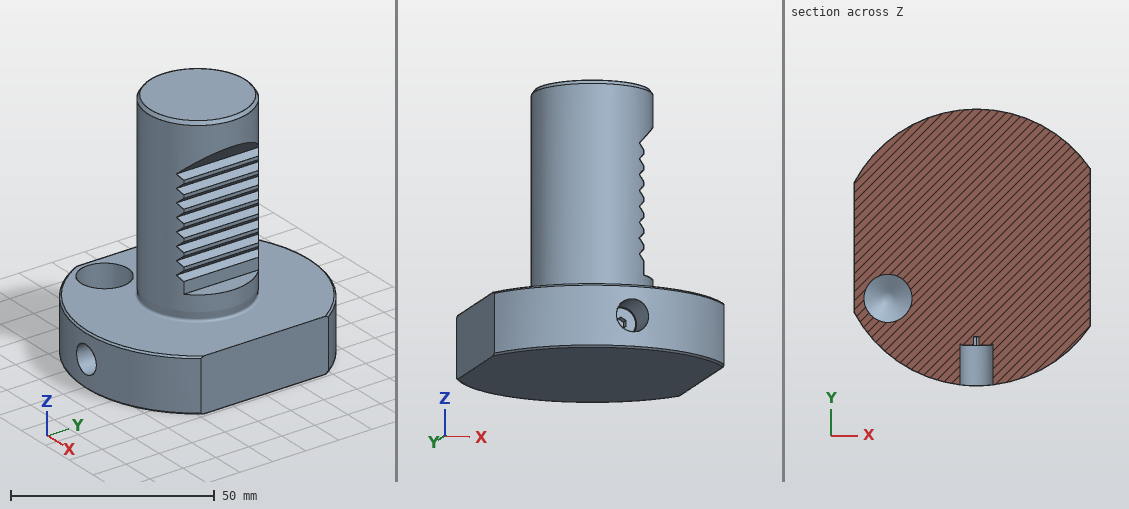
import cadquery as cq
import math

flange_radius = 34.0
flange_height = 16.0
flange_chamfer = 0.5
left_flat_x = -30.0
right_flat_x = 28.0

total_height = 71.0
shank_radius = 15.0
shank_chamfer_height = 1.0
shank_chamfer_width = 0.7
neck_bottom_radius = 14.8
neck_top_z = 18.7
neck_fillet = 0.7

tooth_count = 8
tooth_pitch = 4.0
tooth_root_x = 8.3
tooth_tip_x = 9.8
cutter_margin = 0.7
top_root_z = 56.2
ledge_z = 23.4

nozzle_x = -21.7
nozzle_y = -12.5
nozzle_radius = 7.0
nozzle_depth = 8.2
drill_point_angle = 118.0

plug_z = 8.25
plug_hole_radius = 4.1
plug_hole_depth = 9.95
plug_chamfer = 0.35
hex_across_flats = 2.55
hex_depth = 2.1


def turned_body():
    """Flange, tapered neck and shank as one turned profile."""
    fillet_centre_x = neck_bottom_radius + neck_fillet
    fillet_centre_z = flange_height + neck_fillet
    fillet_offset = neck_fillet * math.sqrt(0.5)
    return (
        cq.Workplane("XZ")
        .lineTo(flange_radius - flange_chamfer, 0)
        .lineTo(flange_radius, flange_chamfer)
        .lineTo(flange_radius, flange_height - flange_chamfer)
        .lineTo(flange_radius - flange_chamfer, flange_height)
        .lineTo(fillet_centre_x, flange_height)
        .threePointArc(
            (fillet_centre_x - fillet_offset, fillet_centre_z - fillet_offset),
            (neck_bottom_radius, fillet_centre_z),
        )
        .lineTo(shank_radius, neck_top_z)
        .lineTo(shank_radius, total_height - shank_chamfer_height)
        .lineTo(shank_radius - shank_chamfer_width, total_height)
        .lineTo(0, total_height)
        .close()
        .revolve(360, (0, 0, 0), (0, 1, 0))
    )


def between_flats():
    """Block spanning the two flats, as long as the disc in Y."""
    width = right_flat_x - left_flat_x
    return (
        cq.Workplane("XY")
        .box(width, 2 * flange_radius, total_height, centered=(False, True, False))
        .translate((left_flat_x, 0, 0))
    )


def tooth_cutter():
    """Material removed beside the teeth, as a prism along Y."""
    tooth_depth = tooth_tip_x - tooth_root_x
    outer_x = shank_radius + cutter_margin
    points = [(outer_x, top_root_z + outer_x - tooth_root_x)]
    for index in range(tooth_count):
        root_z = top_root_z - index * tooth_pitch
        if index > 0:
            points.append((tooth_tip_x, root_z + tooth_depth))
        points.append((tooth_root_x, root_z))
        points.append((tooth_tip_x, root_z - tooth_depth))
    points.append((tooth_tip_x, ledge_z))
    points.append((outer_x, ledge_z))
    return cq.Workplane("XZ").polyline(points).close().extrude(shank_radius, both=True)


def nozzle_hole():
    """Blind hole from the flange top, ending in a cone."""
    cone_depth = nozzle_radius / math.tan(math.radians(drill_point_angle / 2))
    cone_top_z = flange_height - nozzle_depth
    return (
        cq.Workplane("XZ")
        .moveTo(0, cone_top_z - cone_depth)
        .lineTo(nozzle_radius, cone_top_z)
        .lineTo(nozzle_radius, flange_height)
        .lineTo(0, flange_height)
        .close()
        .revolve(360, (0, 0, 0), (0, 1, 0))
        .translate((nozzle_x, nozzle_y, 0))
    )


def plug_recess():
    """Hole down to the plug's chamfered face, with the plug's hex socket beyond it."""
    plug_face_y = plug_hole_depth - flange_radius
    hole = (
        cq.Workplane("XY")
        .moveTo(0, -flange_radius)
        .lineTo(plug_hole_radius, -flange_radius)
        .lineTo(plug_hole_radius, plug_face_y + plug_chamfer)
        .lineTo(plug_hole_radius - plug_chamfer, plug_face_y)
        .lineTo(0, plug_face_y)
        .close()
        .revolve(360, (0, 0, 0), (0, 1, 0))
        .translate((0, 0, plug_z))
    )
    hex_turn = 30
    socket = (
        cq.Workplane("XZ", origin=(0, plug_face_y, plug_z))
        .transformed(rotate=(0, 0, hex_turn))
        .polygon(6, hex_across_flats / math.cos(math.radians(hex_turn)))
        .extrude(-hex_depth)
    )
    return hole.union(socket)


result = (
    turned_body()
    .intersect(between_flats())
    .cut(tooth_cutter())
    .cut(nozzle_hole())
    .cut(plug_recess())
)